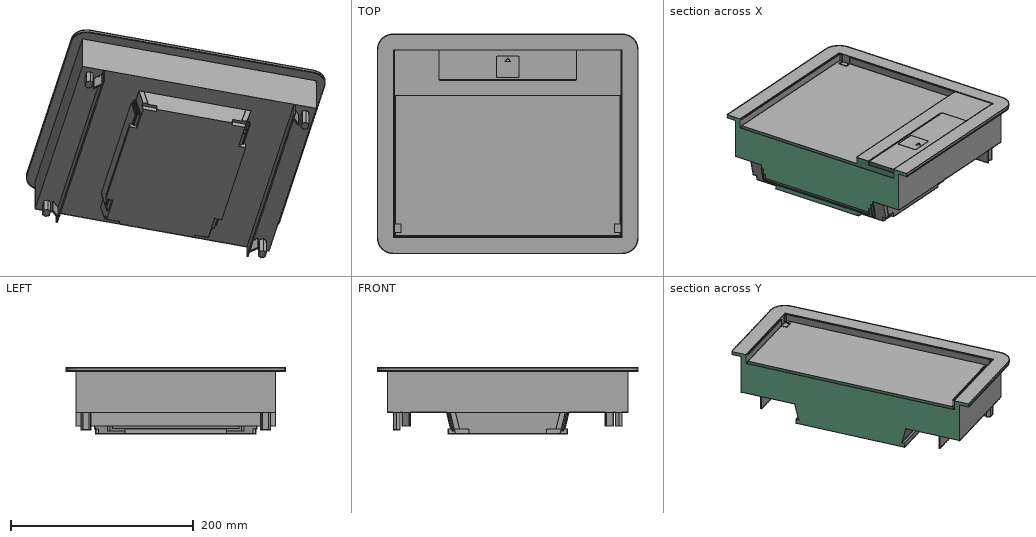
import cadquery as cq
import math

flange_length = 285.0
flange_width = 240.0
flange_radius = 17.0
flange_thickness = 3.0
lip_thickness = 1.0
lip_inset = 0.15

box_inset = 10.8
box_bottom = -48.7
box_length = flange_length - 2 * box_inset
box_width = flange_width - 2 * box_inset

opening_inset = 17.5
opening_length = flange_length - 2 * opening_inset
opening_width = flange_width - 2 * opening_inset
opening_back = opening_width / 2

lid_gap = 1.0
lid_rim = 1.0
lid_length = opening_length - 2 * lid_gap
lid_front = -opening_width / 2 + lid_gap
step_depth = 49.5
tray_depth = 7.7
lid_floor = 3.0
lid_thickness = tray_depth + lid_floor
tray_length = lid_length - 2 * lid_rim
tray_back = opening_back - step_depth
tray_front = lid_front + lid_rim

tray_notch_length = 7.5
tray_notch_width = 9.7
tray_notch_front_gap = 4.3
tray_notch_depth = 1.0

flap_length = 150.2
flap_width = 32.5
flap_thickness = 4.3
flap_front_gap = 1.0
flap_pocket_chamfer = 1.0
button_length = 24.8
button_width = 23.7
button_thickness = 2.3
button_back_gap = 6.5
button_radius = 1.7
arrow_length = 6.3
arrow_width = 4.0
arrow_depth = 0.3
arrow_back_gap = 2.3

foot_inset_x = 6.5
foot_inset_y = 5.5
foot_width = 7.5
foot_length = 10.8
long_foot_bottom = -68.0
rail_bottom = -63.8

rail_inset = 23.7
sheet_thickness = 1.5
wing_reach = 7.5
wing_inset = 6.5

base_bottom = -72.5
base_top_length = 126.0
base_width = 177.3
taper_angle = 13.8
column_width = 5.7
panel_lean = 1.0

rib_reaches = (1.5, 2.8, 4.0)
rib_insets = (14.0, 16.5, 19.5)
rib_clearances = (3.0, 3.0, 5.7)

bar_length = 130.5
bar_width = 110.5
bar_height = 5.5
corner_notch_spacing = 85.0
corner_notch_depth = 4.3
corner_notch_radius = 1.5


def block(x_size, y_size, bottom, top, x=0.0, y=0.0):
    """Box centred on (x, y) between two heights."""
    return cq.Workplane("XY", origin=(x, y, bottom)).box(
        x_size, y_size, top - bottom, centered=(True, True, False)
    )


def tapered_length(top_length, height):
    """Length that a tapered body has left at the given height."""
    return top_length - 2 * (box_bottom - height) * math.tan(math.radians(taper_angle))


def tapered_prism(top_length, width, bottom):
    """Prism along Y whose trapezoid cross-section narrows downward from the box bottom."""
    half_top = top_length / 2
    half_bottom = tapered_length(top_length, bottom) / 2
    outline = [
        (-half_bottom, bottom),
        (half_bottom, bottom),
        (half_top, box_bottom),
        (-half_top, box_bottom),
    ]
    return cq.Workplane("XZ").polyline(outline).close().extrude(width / 2, both=True)


def make_flange():
    plate = block(flange_length, flange_width, -flange_thickness, 0).edges("|Z").fillet(flange_radius)
    lip_bottom = -flange_thickness - lip_thickness
    lip = block(flange_length - 2 * lip_inset, flange_width - 2 * lip_inset, lip_bottom, -flange_thickness)
    return plate.union(lip.edges("|Z").fillet(flange_radius - lip_inset))


def make_foot(side_x, side_y):
    """Upright foot with flat X sides and a 120 degree point at each Y end."""
    half_width = foot_width / 2
    half_length = foot_length / 2
    half_flat = half_length - half_width * math.tan(math.radians(30))
    center_x = side_x * (box_length / 2 - foot_inset_x - half_width)
    center_y = side_y * (box_width / 2 - foot_inset_y - half_length)
    bottom = long_foot_bottom if side_x < 0 else rail_bottom
    outline = [
        (0, -half_length),
        (half_width, -half_flat),
        (half_width, half_flat),
        (0, half_length),
        (-half_width, half_flat),
        (-half_width, -half_flat),
    ]
    foot = cq.Workplane("XY", origin=(center_x, center_y, bottom)).polyline(outline).close()
    return foot.extrude(box_bottom - bottom)


def make_rail(side_x):
    """Rail sheet as long as the box, with 45 degree wings pointing outward and away from the ends."""
    outer_face = box_length / 2 - rail_inset
    rail_x = side_x * (outer_face - sheet_thickness / 2)
    rail = block(sheet_thickness, box_width, rail_bottom, box_bottom, rail_x)
    slant_thickness = sheet_thickness * math.sqrt(2)
    for side_y in (-1, 1):
        near_y = box_width / 2 - wing_inset
        root_x = outer_face - sheet_thickness / 2
        root_y = near_y + sheet_thickness / 2
        tip_x = outer_face + wing_reach
        tip_y = near_y - wing_reach
        outline = [
            (side_x * root_x, side_y * root_y),
            (side_x * tip_x, side_y * tip_y),
            (side_x * tip_x, side_y * (tip_y - slant_thickness)),
            (side_x * root_x, side_y * (root_y - slant_thickness)),
        ]
        wing = cq.Workplane("XY", origin=(0, 0, rail_bottom)).polyline(outline).close()
        rail = rail.union(wing.extrude(box_bottom - rail_bottom))
    return rail


def lean_end_panels(base):
    """Lean the middle of both Y ends inward toward the bottom, leaving upright corner columns."""
    panel = tapered_prism(base_top_length - 2 * column_width, base_width, base_bottom)
    for side_y in (-1, 1):
        face_y = side_y * base_width / 2
        outline = [
            (face_y, box_bottom),
            (face_y, base_bottom),
            (face_y - side_y * panel_lean, base_bottom),
        ]
        wedge = cq.Workplane("YZ").polyline(outline).close().extrude(base_top_length / 2, both=True)
        base = base.cut(wedge.intersect(panel))
    return base


def make_base():
    """Tapered base with leaning end panels, side ribs, corner notches and a bottom bar."""
    base = lean_end_panels(tapered_prism(base_top_length, base_width, base_bottom))
    bar_top = base_bottom + bar_height
    notch_length = (base_top_length - corner_notch_spacing) / 2
    for side_x, inner_side in ((-1, ">X"), (1, "<X")):
        for side_y in (-1, 1):
            notch_x = side_x * (corner_notch_spacing + notch_length) / 2
            notch_y = side_y * (base_width - corner_notch_depth) / 2
            notch = block(notch_length, corner_notch_depth, base_bottom, bar_top, notch_x, notch_y)
            inner_edge = notch.faces(inner_side).edges(">Z")
            base = base.cut(inner_edge.fillet(corner_notch_radius))
    for reach, inset, clearance in zip(rib_reaches, rib_insets, rib_clearances):
        rib_length = base_top_length + 2 * reach
        rib_width = base_width - 2 * inset
        base = base.union(tapered_prism(rib_length, rib_width, base_bottom + clearance))
    return base.union(block(bar_length, bar_width, base_bottom, bar_top))


def make_housing():
    housing = make_flange().union(block(box_length, box_width, box_bottom, -flange_thickness))
    housing = housing.cut(block(opening_length, opening_width, -lid_thickness, 0))
    for side_x in (-1, 1):
        housing = housing.union(make_rail(side_x))
        for side_y in (-1, 1):
            housing = housing.union(make_foot(side_x, side_y))
    return housing.union(make_base())


def make_button_blank():
    """Plain button, which also shapes its recess in the flap."""
    center_y = opening_back - button_back_gap - button_width / 2
    blank = block(button_length, button_width, -button_thickness, 0, 0, center_y)
    return blank.edges("|Z").fillet(button_radius)


def make_lid():
    lid_width = opening_back - lid_front
    lid = block(lid_length, lid_width, -lid_thickness, 0, 0, lid_front + lid_width / 2)
    tray_width = tray_back - tray_front
    lid = lid.cut(block(tray_length, tray_width, -tray_depth, 0, 0, tray_front + tray_width / 2))
    pocket_width = flap_width + flap_front_gap
    pocket = block(flap_length, pocket_width, -flap_thickness, 0, 0, opening_back - pocket_width / 2)
    lid = lid.cut(pocket.edges("|Z and <Y").chamfer(flap_pocket_chamfer))
    for side_x in (-1, 1):
        notch_x = side_x * (lid_length - tray_notch_length) / 2
        notch_y = lid_front + tray_notch_front_gap + tray_notch_width / 2
        notch_bottom = -tray_depth - tray_notch_depth
        lid = lid.cut(block(tray_notch_length, tray_notch_width, notch_bottom, 0, notch_x, notch_y))
    return lid


def make_flap():
    flap = block(flap_length, flap_width, -flap_thickness, 0, 0, opening_back - flap_width / 2)
    return flap.cut(make_button_blank())


def make_button():
    tip_y = opening_back - button_back_gap - arrow_back_gap
    arrow_base_y = tip_y - arrow_width
    outline = [(0, tip_y), (-arrow_length / 2, arrow_base_y), (arrow_length / 2, arrow_base_y)]
    arrow = cq.Workplane("XY").polyline(outline).close().extrude(-arrow_depth)
    return make_button_blank().cut(arrow)


housing = make_housing()
lid = make_lid()
flap = make_flap()
button = make_button()
result = cq.Compound.makeCompound([housing.val(), lid.val(), flap.val(), button.val()])